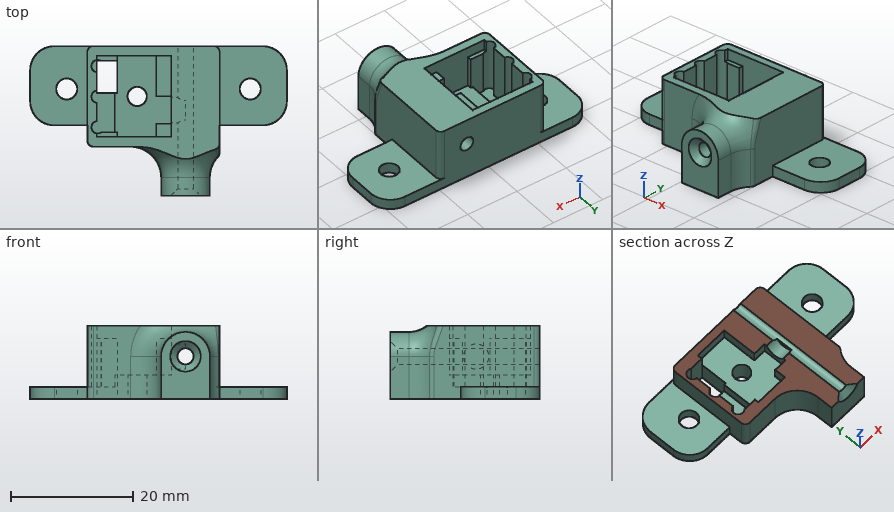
import cadquery as cq
import math

LENGTH = 42.0
HEIGHT = 12.0
DEPTH = 24.5

PLATE_DEPTH = 12.98
PLATE_THICKNESS = 2.0
PLATE_CORNER_RADIUS = 4.0
MOUNT_HOLE_DIAMETER = 3.4
MOUNT_HOLE_SPACING = 30.0
MOUNT_HOLE_Y = -7.0

BODY_LEFT = -11.65
BODY_RIGHT = 10.0
BODY_DEPTH = 16.45
BODY_CORNER_RADIUS = 1.0

SPOUT_X = 4.4
SPOUT_AXIS_Z = 7.0
SPOUT_RADIUS = 4.0
SPOUT_BLEND_RADIUS = 5.0

BORE_DIAMETER = 2.6
BORE_MOUTH_DIAMETER = 5.0

POCKET_LEFT = -10.1
POCKET_RIGHT = 2.1
POCKET_BACK = -1.55
POCKET_FRONT = -14.83
POCKET_FLOOR = 4.0
FLOOR_HOLE_DIAMETER = 3.1
FLOOR_HOLE_X = -3.5
FLOOR_HOLE_Y = -8.25

SUPPORT_TOP = 10.0
RIGHT_SUPPORT_WIDTH = 2.48
REAR_RIGHT_SUPPORT_DEPTH = 6.65
FRONT_RIGHT_SUPPORT_DEPTH = 2.1
LEFT_SUPPORT_WIDTH = 3.3
REAR_LEFT_SUPPORT_DEPTH = 0.9
FRONT_LEFT_SUPPORT_DEPTH = 0.75

GAP_BACK = POCKET_BACK - REAR_RIGHT_SUPPORT_DEPTH
GAP_FRONT = POCKET_FRONT + FRONT_RIGHT_SUPPORT_DEPTH

RECESS_WIDTH = 2.95
RECESS_FLOOR = 2.0
WINDOW_DEPTH = 5.2
GROOVE_RADIUS = 1.0
GROOVE_X = -9.95
GROOVE_PITCH = 5.0
GROOVE_COUNT = 3
GROOVE_MIDDLE_Y = -8.27

SENSE_RADIUS = 2.05


def box(x_min, x_max, y_min, y_max, z_min, z_max):
    """Axis-aligned block given by its limits."""
    size = (x_max - x_min, y_max - y_min, z_max - z_min)
    return cq.Workplane("XY").box(*size, centered=False).translate((x_min, y_min, z_min))


def make_plate():
    """Rounded plate with one mounting hole in each ear."""
    half_length = LENGTH / 2
    plate = box(-half_length, half_length, -PLATE_DEPTH, 0, 0, PLATE_THICKNESS)
    plate = plate.edges("|Z").fillet(PLATE_CORNER_RADIUS)
    mount_holes = (
        cq.Workplane("XY")
        .pushPoints([(side * MOUNT_HOLE_SPACING / 2, MOUNT_HOLE_Y) for side in (-1, 1)])
        .circle(MOUNT_HOLE_DIAMETER / 2)
        .extrude(PLATE_THICKNESS)
    )
    return plate.cut(mount_holes)


def make_spout():
    """Upright arch standing on the base, running from the housing front to the mouth."""
    return (
        cq.Workplane("XZ", origin=(SPOUT_X, -BODY_DEPTH, 0))
        .moveTo(-SPOUT_RADIUS, 0)
        .lineTo(-SPOUT_RADIUS, SPOUT_AXIS_Z)
        .threePointArc((0, SPOUT_AXIS_Z + SPOUT_RADIUS), (SPOUT_RADIUS, SPOUT_AXIS_Z))
        .lineTo(SPOUT_RADIUS, 0)
        .close()
        .extrude(DEPTH - BODY_DEPTH)
    )


def flare_profile(z):
    """Half of the flare's plan outline at height z: straight at the axis, concave outside."""
    y_root = -BODY_DEPTH
    y_tip = y_root - SPOUT_BLEND_RADIUS
    diagonal = SPOUT_BLEND_RADIUS * (1 - math.sqrt(0.5))
    return (
        cq.Workplane("XY", origin=(SPOUT_X, 0, z))
        .moveTo(0, y_root)
        .lineTo(SPOUT_RADIUS + SPOUT_BLEND_RADIUS, y_root)
        .threePointArc((SPOUT_RADIUS + diagonal, y_root - diagonal), (SPOUT_RADIUS, y_tip))
        .lineTo(0, y_tip)
        .close()
    )


def make_flare():
    """Concave flare that widens the spout where it meets the housing."""
    lower_right = flare_profile(0).extrude(SPOUT_AXIS_Z)
    lower_left = lower_right.mirror("YZ", (SPOUT_X, 0, 0))
    dome = flare_profile(SPOUT_AXIS_Z).revolve(180, (0, 0, 0), (0, -1, 0))
    flare = lower_right.union(lower_left).union(dome)
    return flare.intersect(box(BODY_LEFT, BODY_RIGHT, -DEPTH, 0, 0, HEIGHT))


def make_body():
    """Housing block with its flare and rounded side edges, plus the spout."""
    block = box(BODY_LEFT, BODY_RIGHT, -BODY_DEPTH, 0, 0, HEIGHT)
    body = block.union(make_flare())
    body = body.edges("|Z and (<X or >X)").fillet(BODY_CORNER_RADIUS)
    return body.union(make_spout())


def make_pocket():
    """Volume removed for the switch, its terminals and its wires."""
    pocket = box(POCKET_LEFT, POCKET_RIGHT, POCKET_FRONT, POCKET_BACK, POCKET_FLOOR, HEIGHT)

    recess_back = POCKET_BACK - REAR_LEFT_SUPPORT_DEPTH
    recess_front = POCKET_FRONT + FRONT_LEFT_SUPPORT_DEPTH
    recess = box(POCKET_LEFT, POCKET_LEFT + RECESS_WIDTH, recess_front, recess_back, RECESS_FLOOR, HEIGHT)
    left_support_x = POCKET_LEFT + LEFT_SUPPORT_WIDTH
    window = box(POCKET_LEFT, left_support_x, recess_back - WINDOW_DEPTH, recess_back, 0, HEIGHT)
    floor_hole = (
        cq.Workplane("XY")
        .center(FLOOR_HOLE_X, FLOOR_HOLE_Y)
        .circle(FLOOR_HOLE_DIAMETER / 2)
        .extrude(HEIGHT)
    )

    right_support_x = POCKET_RIGHT - RIGHT_SUPPORT_WIDTH
    supports = (
        (right_support_x, POCKET_RIGHT, GAP_BACK, POCKET_BACK),
        (right_support_x, POCKET_RIGHT, POCKET_FRONT, GAP_FRONT),
        (POCKET_LEFT, left_support_x, recess_back, POCKET_BACK),
        (POCKET_LEFT, left_support_x, POCKET_FRONT, recess_front),
    )
    pocket = pocket.union(recess).union(window).union(floor_hole)
    for limits in supports:
        pocket = pocket.cut(box(*limits, POCKET_FLOOR, SUPPORT_TOP))

    grooves = (
        cq.Workplane("XY", origin=(GROOVE_X, GROOVE_MIDDLE_Y, RECESS_FLOOR))
        .rarray(0.4, GROOVE_PITCH, 1, GROOVE_COUNT)
        .circle(GROOVE_RADIUS)
        .extrude(HEIGHT - RECESS_FLOOR)
    )
    return pocket.union(grooves)


def make_bore():
    """Through bore along Y with a 45 degree countersink at the spout mouth."""
    bore_radius = BORE_DIAMETER / 2
    mouth_radius = BORE_MOUTH_DIAMETER / 2
    return (
        cq.Workplane("XY", origin=(SPOUT_X, 0, SPOUT_AXIS_Z))
        .polyline([
            (0, 0),
            (bore_radius, 0),
            (bore_radius, -DEPTH + mouth_radius - bore_radius),
            (mouth_radius, -DEPTH),
            (0, -DEPTH),
        ])
        .close()
        .revolve(360, (0, 0, 0), (0, 1, 0))
    )


def make_sense_hole():
    """Blind hole from the gap between the right supports to the bore axis."""
    return (
        cq.Workplane("YZ", origin=(POCKET_RIGHT, (GAP_BACK + GAP_FRONT) / 2, SPOUT_AXIS_Z))
        .circle(SENSE_RADIUS)
        .extrude(SPOUT_X - POCKET_RIGHT)
    )


housing = make_plate().union(make_body())
result = housing.cut(make_pocket()).cut(make_bore()).cut(make_sense_hole())